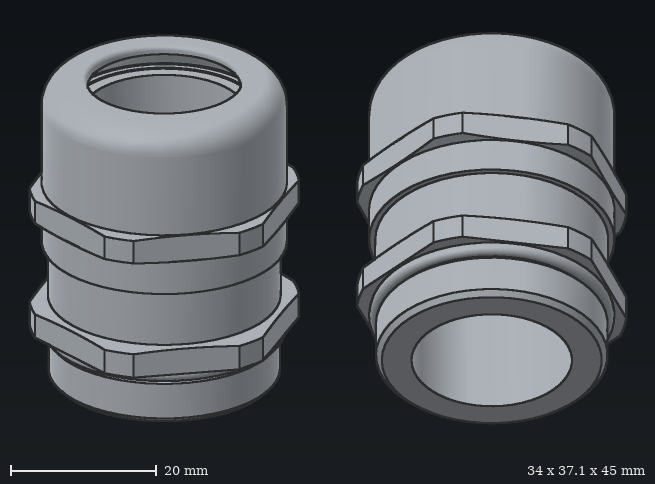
import cadquery as cq
import math

HEIGHT = 44.95

HEX_HALF_WIDTH = 17.01
HEX_CORNER_RADIUS = 18.538
HEX_HEIGHT = 4.0
HEX_FACE_SLOPE = 10.0

BORE_RADIUS = 11.0
THREAD_RADIUS = 15.9
THREAD_CHAMFER = 0.8
THREAD_TOP = 6.05
NECK_RADIUS = 14.9
BODY_HEX_BOTTOM = 8.05
BARREL_RADIUS = 16.0
SPIGOT_TOP = 26.95

NUT_RADIUS = 16.85
NUT_BOTTOM = 20.2
NUT_HEX_BOTTOM = 25.1
NUT_ROUNDING = 4.0
MOUTH_RADIUS = 10.55
MOUTH_ROUNDING = 0.8
MOUTH_DEPTH = 1.35
CONE_HEIGHT = 3.0
CAVITY_RADIUS = 14.0
CAVITY_TOP = HEIGHT - MOUTH_DEPTH - CONE_HEIGHT

O_RING_SECTION_RADIUS = 1.0
O_RING_CENTER_RADIUS = NUT_RADIUS - O_RING_SECTION_RADIUS
O_RING_CENTER_HEIGHT = 7.55

INSERT_STEP = 0.2
CLAW_TOP = CAVITY_TOP - INSERT_STEP
SEAL_TOP = CLAW_TOP - INSERT_STEP
SEAL_RADIUS = 13.0


def section():
    """Half-section plane: local x is the radius, local y is the height."""
    return cq.Workplane("YZ")


def turn(profile):
    """Close a half section and turn it round the axis."""
    return profile.close().revolve(360, (0, 0, 0), (0, 1, 0))


def make_tube(outer_radius, inner_radius, bottom, top):
    return turn(
        section()
        .moveTo(inner_radius, bottom)
        .lineTo(outer_radius, bottom)
        .lineTo(outer_radius, top)
        .lineTo(inner_radius, top)
    )


def make_hexagon(bottom, inner_radius, face_radius, sloped_below):
    """Hexagon flange with turned corners; its faces slope outwards from face_radius."""
    top = bottom + HEX_HEIGHT
    drop = (HEX_CORNER_RADIUS - face_radius) * math.tan(math.radians(HEX_FACE_SLOPE))
    bottom_drop = drop if sloped_below else 0
    blank = turn(
        section()
        .moveTo(inner_radius, bottom)
        .lineTo(face_radius, bottom)
        .lineTo(HEX_CORNER_RADIUS, bottom + bottom_drop)
        .lineTo(HEX_CORNER_RADIUS, top - drop)
        .lineTo(face_radius, top)
        .lineTo(inner_radius, top)
    )
    across_corners = 2 * HEX_HALF_WIDTH / math.cos(math.radians(30))
    prism = (
        cq.Workplane("XY", origin=(0, 0, bottom))
        .transformed(rotate=(0, 0, 30))
        .polygon(6, across_corners)
        .extrude(HEX_HEIGHT)
    )
    return blank.intersect(prism)


def make_body():
    turned = turn(
        section()
        .moveTo(BORE_RADIUS, 0)
        .lineTo(THREAD_RADIUS - THREAD_CHAMFER, 0)
        .lineTo(THREAD_RADIUS, THREAD_CHAMFER)
        .lineTo(THREAD_RADIUS, THREAD_TOP)
        .lineTo(NECK_RADIUS, THREAD_TOP)
        .lineTo(NECK_RADIUS, BODY_HEX_BOTTOM)
        .lineTo(BARREL_RADIUS, BODY_HEX_BOTTOM)
        .lineTo(BARREL_RADIUS, NUT_BOTTOM)
        .lineTo(CAVITY_RADIUS, NUT_BOTTOM)
        .lineTo(CAVITY_RADIUS, SPIGOT_TOP)
        .lineTo(BORE_RADIUS, SPIGOT_TOP)
    )
    return turned.union(make_hexagon(BODY_HEX_BOTTOM, BORE_RADIUS, BARREL_RADIUS, sloped_below=False))


def make_o_ring():
    seat = make_tube(HEX_CORNER_RADIUS, NECK_RADIUS, THREAD_TOP, BODY_HEX_BOTTOM)
    round_ring = (
        section()
        .center(O_RING_CENTER_RADIUS, O_RING_CENTER_HEIGHT)
        .circle(O_RING_SECTION_RADIUS)
        .revolve(360, (-O_RING_CENTER_RADIUS, 0, 0), (-O_RING_CENTER_RADIUS, 1, 0))
    )
    return round_ring.intersect(seat)


def make_cap_nut():
    turned = turn(
        section()
        .moveTo(CAVITY_RADIUS, NUT_BOTTOM)
        .lineTo(NUT_RADIUS, NUT_BOTTOM)
        .lineTo(NUT_RADIUS, HEIGHT - NUT_ROUNDING)
        .radiusArc((NUT_RADIUS - NUT_ROUNDING, HEIGHT), -NUT_ROUNDING)
        .lineTo(MOUTH_RADIUS + MOUTH_ROUNDING, HEIGHT)
        .radiusArc((MOUTH_RADIUS, HEIGHT - MOUTH_ROUNDING), -MOUTH_ROUNDING)
        .lineTo(MOUTH_RADIUS, HEIGHT - MOUTH_DEPTH)
        .lineTo(CAVITY_RADIUS, CAVITY_TOP)
    )
    return turned.union(make_hexagon(NUT_HEX_BOTTOM, CAVITY_RADIUS, NUT_RADIUS, sloped_below=True))


body = make_body()
o_ring = make_o_ring()
cap_nut = make_cap_nut()
claw_ring = make_tube(CAVITY_RADIUS, SEAL_RADIUS, SPIGOT_TOP, CLAW_TOP)
seal = make_tube(SEAL_RADIUS, BORE_RADIUS, SPIGOT_TOP, SEAL_TOP)

result = cq.Compound.makeCompound(
    [body.val(), o_ring.val(), cap_nut.val(), claw_ring.val(), seal.val()]
)